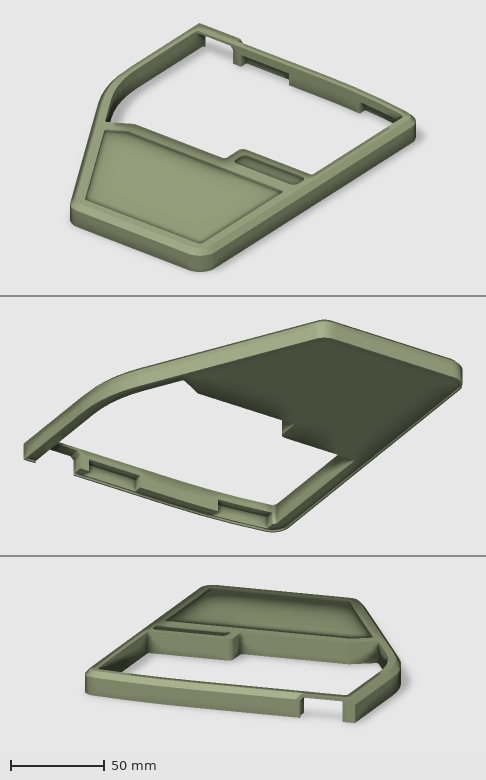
import cadquery as cq
import math

LENGTH_X = 158.5
LENGTH_Y = 196.5
HEIGHT = 13.0
EDGE_CHAMFER = 3.0
CORNER_RADIUS = 10.0

BLEND_RADIUS = 77.0
BLEND_TOP_Y = 137.1
LEAN_ANGLE = 30.0

ROOF_ARC_START_X = 92.0
ROOF_ARC_RADIUS = 373.2

FRAME_WIDTH = 7.0
SILL_Y = 89.0
SILL_BEND_X = 42.6
HANDLE_BLOCK_X = 104.0
HANDLE_BLOCK_Y = 104.0
TIGHT_RADIUS = 1.5
BLOCK_RADIUS = 3.1

RECESS_DEPTH = 1.5
PANEL_MARGIN = 8.0
PANEL_TOP_Y = 80.7
PANEL_BEND_X = 44.4
PANEL_RADIUS = 1.0
HANDLE_RECESS_X = (109.0, 151.5)
HANDLE_RECESS_Y = (88.8, 99.2)

LAP_END_X = 30.6
LAP_SKIN = 1.5
LAP_CHAMFER = 2.0
POST_FRONT_X = 31.5
POST_WIDTH = 5.3
BLOCK_FRONT_X = 69.3
BLOCK_REAR_X = 118.0
REAR_NOTCH_END_X = 149.9
NOTCH_HEIGHT = 8.2
ROOF_WALL = 2.0

RIM_WIDTH = 1.0
RIM_HEIGHT = 1.0

lean = math.radians(LEAN_ANGLE)
blend_end_x = BLEND_RADIUS * (1 - math.cos(lean))
blend_end_y = BLEND_TOP_Y - BLEND_RADIUS * math.sin(lean)
lean_foot_x = blend_end_x + blend_end_y * math.tan(lean)
chamfer_base_z = HEIGHT - EDGE_CHAMFER
roof_drop = ROOF_ARC_RADIUS - math.sqrt(ROOF_ARC_RADIUS**2 - (LENGTH_X - ROOF_ARC_START_X) ** 2)


def box(x_range, y_range, z_range):
    """Axis-aligned block spanning the three ranges."""
    size = [high - low for low, high in (x_range, y_range, z_range)]
    corner = (x_range[0], y_range[0], z_range[0])
    return cq.Workplane("XY").box(*size, centered=False).translate(corner)


def round_corners(body, corners, radius):
    """Fillet the upright edge nearest to each (x, y) corner."""
    for corner in corners:
        selector = cq.selectors.NearestToPointSelector((*corner, HEIGHT / 2))
        body = body.edges("|Z").edges(selector).fillet(radius)
    return body


def door_body(inset, height):
    """Prism of the door outline, moved inwards by inset; its three round corners shrink with it."""
    outline = (
        cq.Workplane("XY")
        .moveTo(0, LENGTH_Y)
        .lineTo(ROOF_ARC_START_X, LENGTH_Y)
        .radiusArc((LENGTH_X, LENGTH_Y - roof_drop), ROOF_ARC_RADIUS)
        .lineTo(LENGTH_X, 0)
        .lineTo(lean_foot_x, 0)
        .lineTo(blend_end_x, blend_end_y)
        .radiusArc((0, BLEND_TOP_Y), BLEND_RADIUS)
        .close()
    )
    if inset:
        outline = outline.offset2D(-inset, "intersection")
    body = outline.extrude(height)
    corners = [(lean_foot_x, 0), (LENGTH_X, 0), (LENGTH_X, LENGTH_Y)]
    return round_corners(body, corners, CORNER_RADIUS - inset)


def lower_region(top_y, bend_x):
    """Everything below a level line whose front end bends down square to the leaning edge."""
    return (
        cq.Workplane("XY")
        .moveTo(LENGTH_X, 0)
        .lineTo(LENGTH_X, top_y)
        .lineTo(bend_x, top_y)
        .lineTo(0, top_y - bend_x * math.tan(lean))
        .lineTo(0, 0)
        .close()
        .extrude(HEIGHT)
    )


def window():
    """Opening inside the frame, above the sill and the handle block."""
    handle_block = box((HANDLE_BLOCK_X, LENGTH_X), (0, HANDLE_BLOCK_Y), (0, HEIGHT))
    opening = door_body(FRAME_WIDTH, HEIGHT)
    opening = opening.cut(lower_region(SILL_Y, SILL_BEND_X)).cut(handle_block)
    sill_front_y = SILL_Y - FRAME_WIDTH
    sill_front = (lean_foot_x - sill_front_y * math.tan(lean), sill_front_y)
    tight_corners = [
        (0, LENGTH_Y),
        (LENGTH_X, HANDLE_BLOCK_Y),
        (HANDLE_BLOCK_X, SILL_Y),
        sill_front,
    ]
    opening = round_corners(opening, tight_corners, TIGHT_RADIUS)
    return round_corners(opening, [(HANDLE_BLOCK_X, HANDLE_BLOCK_Y)], BLOCK_RADIUS)


def panel_recess():
    """Large shallow recess below the sill, keeping an even margin to the door outline."""
    recess = door_body(PANEL_MARGIN, HEIGHT).intersect(lower_region(PANEL_TOP_Y, PANEL_BEND_X))
    top_rear = (LENGTH_X, PANEL_TOP_Y)
    recess = round_corners(recess, [top_rear], PANEL_RADIUS)
    recess = recess.edges("|Z and <X").fillet(TIGHT_RADIUS)
    return recess.translate((0, 0, HEIGHT - RECESS_DEPTH))


def handle_recess():
    """Rounded rectangular recess in the handle block."""
    recess = box(HANDLE_RECESS_X, HANDLE_RECESS_Y, (HEIGHT - RECESS_DEPTH, HEIGHT))
    return recess.edges("|Z").fillet(BLOCK_RADIUS)


def square_lap():
    """Wedge-ended bar that fills the roof chamfer back to a square edge over the front lap."""
    return (
        cq.Workplane("XZ", origin=(0, LENGTH_Y, 0))
        .moveTo(0, chamfer_base_z)
        .lineTo(EDGE_CHAMFER, HEIGHT)
        .lineTo(LAP_END_X, HEIGHT)
        .lineTo(LAP_END_X + EDGE_CHAMFER, chamfer_base_z)
        .close()
        .extrude(EDGE_CHAMFER)
    )


def lap_cut():
    """Space under the front lap, leaving a thin skin with a sloped shoulder at the post."""
    skin_z = HEIGHT - LAP_SKIN
    return (
        cq.Workplane("XZ", origin=(0, LENGTH_Y, 0))
        .moveTo(FRAME_WIDTH, 0)
        .lineTo(FRAME_WIDTH, skin_z)
        .lineTo(POST_FRONT_X - LAP_CHAMFER, skin_z)
        .lineTo(POST_FRONT_X, skin_z - LAP_CHAMFER)
        .lineTo(POST_FRONT_X, 0)
        .close()
        .extrude(2 * FRAME_WIDTH)
    )


def roof_notches():
    """Two notches in the underside of the roof rail that leave its outer wall standing."""
    front = (POST_FRONT_X + POST_WIDTH, BLOCK_FRONT_X)
    rear = (BLOCK_REAR_X, REAR_NOTCH_END_X)
    y_range = (LENGTH_Y - 3 * FRAME_WIDTH, LENGTH_Y)
    z_range = (0, NOTCH_HEIGHT)
    notches = box(front, y_range, z_range).union(box(rear, y_range, z_range))
    return notches.intersect(door_body(ROOF_WALL, HEIGHT))


result = door_body(0, HEIGHT).faces(">Z").edges().chamfer(EDGE_CHAMFER)
result = result.union(square_lap())
underside = door_body(RIM_WIDTH, RIM_HEIGHT)
for opening in (window(), panel_recess(), handle_recess(), lap_cut(), roof_notches(), underside):
    result = result.cut(opening)